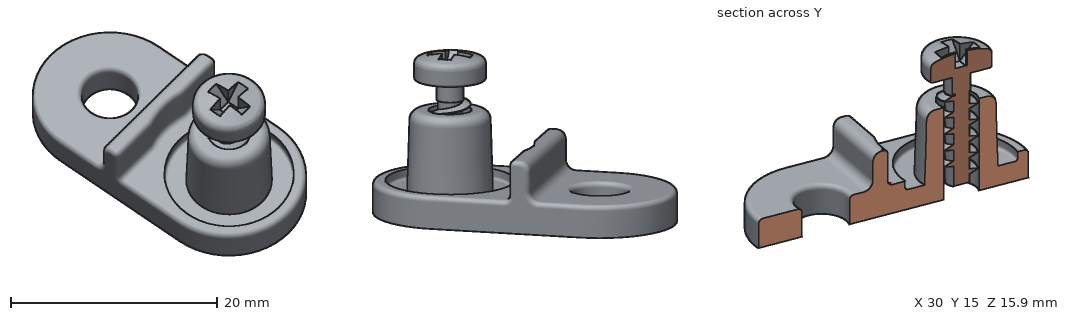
import cadquery as cq
import math

LENGTH = 30.0
WIDTH = 15.0
PLATE_TOP = 3.2
EDGE_ROUND = 0.5
END_RADIUS = WIDTH / 2
END_OFFSET = (LENGTH - WIDTH) / 2

MOUNT_HOLE_RADIUS = 2.73

WALL_LEFT = -2.3
WALL_RIGHT = -0.3
WALL_TOP = 7.2
WALL_LEFT_ROUND = 1.0
RELIEF_RADIUS = 8.15

RECESS_RADIUS = 6.27
RECESS_DEPTH = 1.0
RECESS_FLOOR = PLATE_TOP - RECESS_DEPTH
RECESS_ROUND = 0.3
POST_TOP = 10.2
POST_ROUND = 1.0
POST_TOP_RADIUS = 3.93
POST_BASE_RADIUS = 4.17
POST_BORE_RADIUS = 2.1

HEAD_BOTTOM = 13.2
HEAD_RADIUS = 3.5
HEAD_APEX = 15.9
HEAD_DOME_RADIUS = 10.2
HEAD_TOP_ROUND = 0.7
HEAD_BOTTOM_ROUND = 0.27
SCREW_TIP = 1.2
SHANK_RADIUS = 1.32
SHANK_END = 11.2
CORE_RADIUS = 1.2

THREAD_END = 11.15
THREAD_PITCH = 1.8
THREAD_TURNS = 5
CREST_RADIUS = 2.0
CREST_HALF_HEIGHT = 0.03
ROOT_RADIUS = 1.05
ROOT_HALF_HEIGHT = 0.4

CROSS_WIDTH = 1.23
CROSS_LENGTH = 4.68
CROSS_DEPTH = 1.92


def make_plate_with_wall():
    """Stadium plate with the upright wall, all upper edges rounded."""
    profile = (
        cq.Workplane("XZ", origin=(0, END_RADIUS, 0))
        .moveTo(-LENGTH / 2, 0)
        .lineTo(LENGTH / 2, 0)
        .lineTo(LENGTH / 2, PLATE_TOP)
        .lineTo(WALL_RIGHT + EDGE_ROUND, PLATE_TOP)
        .radiusArc((WALL_RIGHT, PLATE_TOP + EDGE_ROUND), EDGE_ROUND)
        .lineTo(WALL_RIGHT, WALL_TOP)
        .lineTo(WALL_LEFT + WALL_LEFT_ROUND, WALL_TOP)
        .radiusArc((WALL_LEFT, WALL_TOP - WALL_LEFT_ROUND), -WALL_LEFT_ROUND)
        .lineTo(WALL_LEFT, PLATE_TOP + WALL_LEFT_ROUND)
        .radiusArc((WALL_LEFT - WALL_LEFT_ROUND, PLATE_TOP), WALL_LEFT_ROUND)
        .lineTo(-LENGTH / 2, PLATE_TOP)
        .close()
        .extrude(WIDTH)
    )
    stadium = cq.Workplane("XY").slot2D(LENGTH, WIDTH).extrude(WALL_TOP)
    body = profile.intersect(stadium)
    upper_half = cq.selectors.BoxSelector(
        (-LENGTH, -WIDTH, PLATE_TOP - EDGE_ROUND),
        (LENGTH, WIDTH, WALL_TOP + EDGE_ROUND),
    )
    rim = body.edges(upper_half).edges("not |Y")
    wall_crest = body.edges("|Y").edges(">Z").edges(">X")
    return rim.add(wall_crest).fillet(EDGE_ROUND)


def revolve_about_post(half_profile):
    """Revolve a closed XZ half profile, drawn about X = 0, and move it onto the post axis."""
    return half_profile.revolve(360, (0, 0, 0), (0, 1, 0)).translate((END_OFFSET, 0, 0))


def make_mount_hole():
    """Cutter for the mounting hole with a rounded upper mouth."""
    mouth_radius = MOUNT_HOLE_RADIUS + EDGE_ROUND
    return (
        cq.Workplane("XZ")
        .lineTo(MOUNT_HOLE_RADIUS, 0)
        .lineTo(MOUNT_HOLE_RADIUS, PLATE_TOP - EDGE_ROUND)
        .radiusArc((mouth_radius, PLATE_TOP), EDGE_ROUND)
        .lineTo(0, PLATE_TOP)
        .close()
        .revolve(360, (0, 0, 0), (0, 1, 0))
        .translate((-END_OFFSET, 0, 0))
    )


def make_wall_relief():
    """Cutter for the arc in the wall, blending into the plate below and the wall crest above."""
    return revolve_about_post(
        cq.Workplane("XZ")
        .moveTo(0, PLATE_TOP)
        .lineTo(RELIEF_RADIUS - EDGE_ROUND, PLATE_TOP)
        .radiusArc((RELIEF_RADIUS, PLATE_TOP + EDGE_ROUND), -EDGE_ROUND)
        .lineTo(RELIEF_RADIUS, WALL_TOP - EDGE_ROUND)
        .radiusArc((RELIEF_RADIUS + EDGE_ROUND, WALL_TOP), EDGE_ROUND)
        .lineTo(0, WALL_TOP)
        .close()
    )


def make_recess():
    """Cutter for the round recess, with a rounded floor corner."""
    return (
        cq.Workplane("XY", origin=(END_OFFSET, 0, RECESS_FLOOR))
        .circle(RECESS_RADIUS)
        .extrude(RECESS_DEPTH)
        .faces("<Z")
        .edges()
        .fillet(RECESS_ROUND)
    )


def make_post():
    """Tapered post with a rounded top edge, standing on the recess floor."""
    return revolve_about_post(
        cq.Workplane("XZ")
        .moveTo(0, RECESS_FLOOR)
        .lineTo(POST_BASE_RADIUS, RECESS_FLOOR)
        .lineTo(POST_TOP_RADIUS, POST_TOP)
        .lineTo(0, POST_TOP)
        .close()
    ).faces(">Z").edges().fillet(POST_ROUND)


def make_base():
    """Plate, wall and post as one body, with the bore running right through."""
    bore = cq.Workplane("XY").center(END_OFFSET, 0).circle(POST_BORE_RADIUS).extrude(POST_TOP)
    return (
        make_plate_with_wall()
        .cut(make_wall_relief())
        .cut(make_mount_hole())
        .cut(make_recess())
        .union(make_post())
        .cut(bore)
    )


def make_head():
    """Domed screw head, rounded above and below."""
    dome_edge = HEAD_APEX - HEAD_DOME_RADIUS + math.sqrt(HEAD_DOME_RADIUS**2 - HEAD_RADIUS**2)
    head = revolve_about_post(
        cq.Workplane("XZ")
        .moveTo(0, HEAD_BOTTOM)
        .lineTo(HEAD_RADIUS, HEAD_BOTTOM)
        .lineTo(HEAD_RADIUS, dome_edge)
        .radiusArc((0, HEAD_APEX), -HEAD_DOME_RADIUS)
        .close()
    )
    head = head.faces("%CYLINDER").edges(">Z").fillet(HEAD_TOP_ROUND)
    return head.faces("<Z").edges().fillet(HEAD_BOTTOM_ROUND)


def make_screw_rod(radius, bottom, top):
    """Plain round rod on the screw axis between two heights."""
    return cq.Workplane("XY", origin=(END_OFFSET, 0, bottom)).circle(radius).extrude(top - bottom)


def make_thread():
    """V-shaped ridge swept up a helix that starts and ends on the -Y side."""
    height = THREAD_PITCH * THREAD_TURNS
    helix = cq.Wire.makeHelix(THREAD_PITCH, height, ROOT_RADIUS)
    ridge = (
        cq.Workplane("XZ")
        .moveTo(ROOT_RADIUS, -ROOT_HALF_HEIGHT)
        .lineTo(CREST_RADIUS, -CREST_HALF_HEIGHT)
        .lineTo(CREST_RADIUS, CREST_HALF_HEIGHT)
        .lineTo(ROOT_RADIUS, ROOT_HALF_HEIGHT)
        .close()
        .sweep(helix, isFrenet=True)
    )
    return ridge.rotate((0, 0, 0), (0, 0, 1), -90).translate((END_OFFSET, 0, THREAD_END - height))


def make_cross_recess():
    """Cutter for the cross: two crossed wedges that narrow to a square floor."""
    floor_z = HEAD_APEX - CROSS_DEPTH
    wedge = (
        cq.Workplane("XZ", origin=(0, CROSS_WIDTH / 2, 0))
        .moveTo(-CROSS_WIDTH / 2, floor_z)
        .lineTo(CROSS_WIDTH / 2, floor_z)
        .lineTo(CROSS_LENGTH / 2, HEAD_APEX)
        .lineTo(-CROSS_LENGTH / 2, HEAD_APEX)
        .close()
        .extrude(CROSS_WIDTH)
    )
    crossed_wedge = wedge.rotate((0, 0, 0), (0, 0, 1), 90)
    return wedge.union(crossed_wedge).translate((END_OFFSET, 0, 0))


def make_screw():
    """Pan-head screw standing in the bore of the post."""
    core = make_screw_rod(CORE_RADIUS, SCREW_TIP, SHANK_END)
    shank = make_screw_rod(SHANK_RADIUS, SHANK_END, HEAD_BOTTOM)
    head = make_head().cut(make_cross_recess())
    return core.union(make_thread()).union(shank).union(head)


base = make_base()
screw = make_screw()
result = cq.Compound.makeCompound([base.val(), screw.val()])